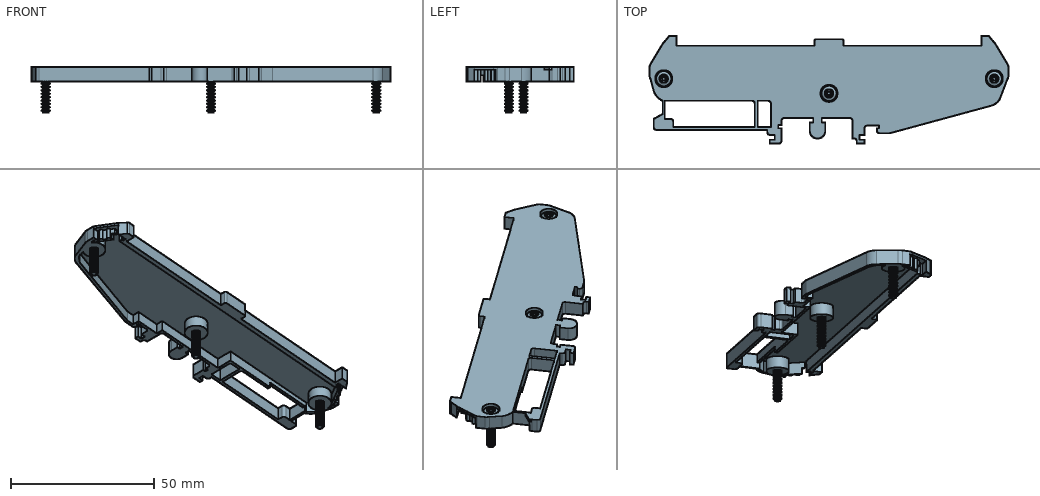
import cadquery as cq
HOUSING_HEIGHT = 5.1
COVER = 1.0
WALL = 1.0
CORNER_ROUND = 1.0
INNER_ROUND = 0.9
NOTCH_HEIGHT = 2.1
RIB_TOP = HOUSING_HEIGHT - COVER

HALF_LENGTH = 62.7
HORN_X = 53.2
HORN_TIP_X = 55.5
HORN_TOP = 3.4
HORN_ARC_MID = (55.9, 3.3)
HORN_ARC_END = (56.2, 2.9)
SLANT_TOP = (58.2, 0.5)
SLANT_FOOT = (62.1, -6.0)
END_ARC_MID = (62.5, -6.6)
END_BACK = -7.4
END_FRONT = -10.2
FLANK_ARC_MID = (62.6, -11.0)
FLANK_TOP = (62.3, -11.7)
LEFT_FLANK_FOOT = (-61.2, -15.9)
LEFT_ARC_MID = (-60.1, -17.8)
RIGHT_FLANK_FOOT = (59.7, -18.5)
RIGHT_ARC_MID = (58.4, -20.1)
SLOPE_END = (56.4, -21.1)
TAB_HALF_WIDTH = 5.1
TAB_TOP = 2.3
TAB_ROUND = 0.6
RAIL_Y = -25.3
FRONT_Y = -34.2

FRAME_BACK = -19.3
FRAME_FRONT = -29.5
FRAME_RIGHT = -20.3
LEG_X = -58.0
LEG_WIDTH = 0.8
FOOT_X = -61.2
FOOT_BACK = -25.6
FOOT_RIGHT = -54.3
BAR = 1.1
PARTITION_LEFT = -26.0
GUSSET_BACK = -23.8
GUSSET_FRONT = -26.5
BACK_NOTCH_RIGHT = -39.5

LEFT_FOOT_X = -16.5
LATCH_X = -21.6
RIGHT_FOOT_X = 8.2
RIGHT_FOOT_STEP = (9.7, -32.5)
RIGHT_FOOT_OUTER = 12.4
RELIEF_BACK = -28.0
RELIEF_RIGHT = 17.4
LIP_X = 16.7
LIP_BACK = -28.8
LIP_FRONT = -30.6
SLOPE_START_X = 21.3
HOOK_BACK = -31.2
HOOK_FRONT = -32.9
HOOK_SLOT_LEFT = -18.9
HOOK_SLOT_RIGHT = 10.7
TOE_LEFT = -20.7
NICK_X = -17.7
NICK_BACK = -27.7
NICK_FRONT = -28.8
TONGUE_X = -4.0
TONGUE_WIDTH = 5.5
TONGUE_NECK = 3.0
TONGUE_BACK = -26.8
TONGUE_FRONT = -32.5

REAR_WALL = 1.8
CAVITY_RIGHT_END = [(61.5, -8.2), (58.4, -18.2), (55.9, -20.0)]
CAVITY_LEFT_END = [(-60.2, -15.7), (-61.7, -11.3), (-61.7, -8.2)]
VENT_BOTTOM_Y = -7.0
VENT_X = 55.2
VENT_STEP_X = 54.4
VENT_STEP_Y = -0.6
BAFFLE_SETBACK = 2.0
BAFFLE_SLOT = 0.9
BAFFLE_FRONT = -8.8
BAFFLE_RIB_RADIUS = 0.6
BAFFLE_RIB_YS = (-3.6, -5.9)

ROUNDED_CORNERS = [
    (PARTITION_LEFT, FRAME_BACK),
    (FRAME_RIGHT, FRAME_BACK),
    (LEFT_FOOT_X, RAIL_Y),
    (RIGHT_FOOT_X, RAIL_Y),
    (RIGHT_FOOT_OUTER, RELIEF_BACK),
    RIGHT_FOOT_STEP,
    (LIP_X, LIP_FRONT),
]

SCREW_PLACES = [(-57.7, -11.5), (0.0, -16.7), (57.7, -11.5)]
SEAT_RADIUS = 3.0
HEAD_RADIUS = 2.6
HEAD_RIM_Z = 4.1
HEAD_TOP_Z = 4.8
HEAD_TOP_RADIUS = 1.5
SOCKET_RADIUS = 1.3
SOCKET_DEPTH = 0.3
PIT_RADIUS = 0.6
PIT_DEPTH = 0.6
HEAD_BOTTOM = 1.9
SHANK_RADIUS = 1.0
THREAD_RADIUS = 1.5
THREAD_PITCH = 1.18
THREAD_COUNT = 9
THREAD_HALF_BASE = 0.31
SCREW_TIP = -10.9
TIP_LENGTH = 0.8
LAST_THREAD = SCREW_TIP + TIP_LENGTH
BOSS_RADIUS = 4.0


def mirrored(point):
    return (-point[0], point[1])


def prism(points, height=HOUSING_HEIGHT):
    return cq.Workplane("XY").polyline(points).close().extrude(height)


def round_corner(body, x, y, radius=CORNER_ROUND):
    corner = cq.selectors.NearestToPointSelector((x, y, HOUSING_HEIGHT / 2))
    return body.edges("|Z").edges(corner).fillet(radius)


def block(x_range, y_range, z_range):
    size = [high - low for low, high in (x_range, y_range, z_range)]
    return cq.Workplane("XY").box(*size, centered=False).translate((x_range[0], y_range[0], z_range[0]))


def main_body():
    return (
        cq.Workplane("XY")
        .moveTo(-HORN_X, 0)
        .lineTo(-HORN_X, HORN_TOP)
        .lineTo(-HORN_TIP_X, HORN_TOP)
        .threePointArc(mirrored(HORN_ARC_MID), mirrored(HORN_ARC_END))
        .lineTo(*mirrored(SLANT_TOP))
        .lineTo(*mirrored(SLANT_FOOT))
        .threePointArc(mirrored(END_ARC_MID), (-HALF_LENGTH, END_BACK))
        .lineTo(-HALF_LENGTH, END_FRONT)
        .threePointArc(mirrored(FLANK_ARC_MID), mirrored(FLANK_TOP))
        .lineTo(*LEFT_FLANK_FOOT)
        .threePointArc(LEFT_ARC_MID, (LEG_X, FRAME_BACK))
        .lineTo(FRAME_RIGHT, FRAME_BACK)
        .lineTo(FRAME_RIGHT, RAIL_Y)
        .lineTo(RIGHT_FOOT_X, RAIL_Y)
        .lineTo(RIGHT_FOOT_X, RELIEF_BACK)
        .lineTo(RELIEF_RIGHT, RELIEF_BACK)
        .lineTo(RELIEF_RIGHT, LIP_BACK)
        .lineTo(LIP_X, LIP_BACK)
        .lineTo(LIP_X, LIP_FRONT)
        .lineTo(SLOPE_START_X, LIP_FRONT)
        .lineTo(*SLOPE_END)
        .threePointArc(RIGHT_ARC_MID, RIGHT_FLANK_FOOT)
        .lineTo(*FLANK_TOP)
        .threePointArc(FLANK_ARC_MID, (HALF_LENGTH, END_FRONT))
        .lineTo(HALF_LENGTH, END_BACK)
        .threePointArc(END_ARC_MID, SLANT_FOOT)
        .lineTo(*SLANT_TOP)
        .lineTo(*HORN_ARC_END)
        .threePointArc(HORN_ARC_MID, (HORN_TIP_X, HORN_TOP))
        .lineTo(HORN_X, HORN_TOP)
        .lineTo(HORN_X, 0)
        .close()
        .extrude(HOUSING_HEIGHT)
    )


def rear_tab():
    tab = block((-TAB_HALF_WIDTH, TAB_HALF_WIDTH), (-REAR_WALL, TAB_TOP), (0, HOUSING_HEIGHT))
    return tab.edges("|Z and >Y").fillet(TAB_ROUND)


def label_frame():
    leg_inner = LEG_X + LEG_WIDTH
    bar_back = FRAME_FRONT + BAR
    leg = block((LEG_X, leg_inner), (FOOT_BACK, FRAME_BACK), (0, HOUSING_HEIGHT))
    foot = block((FOOT_X, FOOT_RIGHT), (FRAME_FRONT, FOOT_BACK), (0, HOUSING_HEIGHT))
    foot = round_corner(foot, FOOT_X, FRAME_FRONT)
    foot = round_corner(foot, FOOT_X, FOOT_BACK)
    foot = round_corner(foot, FOOT_RIGHT, FOOT_BACK)
    bar = block((FOOT_RIGHT, FRAME_RIGHT), (FRAME_FRONT, bar_back), (0, HOUSING_HEIGHT))
    partition = block((PARTITION_LEFT, PARTITION_LEFT + BAR), (bar_back, FRAME_BACK), (0, HOUSING_HEIGHT))
    gusset = prism([
        (LEG_X, GUSSET_BACK),
        (leg_inner, GUSSET_BACK),
        (leg_inner, GUSSET_FRONT),
        (FOOT_X, GUSSET_FRONT),
        (FOOT_X, FOOT_BACK),
    ], COVER).translate((0, 0, RIB_TOP))
    return leg.union(foot).union(bar).union(partition).union(gusset)


def frame_notch():
    x_range = (LEG_X + LEG_WIDTH, BACK_NOTCH_RIGHT)
    return block(x_range, (FRAME_BACK, FRAME_BACK + WALL), (0, NOTCH_HEIGHT))


def left_rail_foot():
    foot = prism([
        (LEFT_FOOT_X, RAIL_Y),
        (LEFT_FOOT_X, NICK_BACK),
        (NICK_X, NICK_BACK),
        (NICK_X, NICK_FRONT),
        (LEFT_FOOT_X, NICK_FRONT),
        (LEFT_FOOT_X, FRONT_Y),
        (TOE_LEFT, FRONT_Y),
        (TOE_LEFT, HOOK_FRONT),
        (HOOK_SLOT_LEFT, HOOK_FRONT),
        (HOOK_SLOT_LEFT, HOOK_BACK),
        (LATCH_X, HOOK_BACK),
        (LATCH_X, FRAME_FRONT),
        (FRAME_RIGHT, FRAME_FRONT),
        (FRAME_RIGHT, RAIL_Y),
    ])
    foot = round_corner(foot, LATCH_X, HOOK_BACK)
    return round_corner(foot, LEFT_FOOT_X, FRONT_Y)


def right_rail_foot():
    step_x, step_y = RIGHT_FOOT_STEP
    return prism([
        (RIGHT_FOOT_X, RELIEF_BACK),
        (RIGHT_FOOT_X, step_y),
        (step_x, step_y),
        (step_x, FRONT_Y),
        (RIGHT_FOOT_OUTER, FRONT_Y),
        (RIGHT_FOOT_OUTER, HOOK_FRONT),
        (HOOK_SLOT_RIGHT, HOOK_FRONT),
        (HOOK_SLOT_RIGHT, HOOK_BACK),
        (RIGHT_FOOT_OUTER, HOOK_BACK),
        (RIGHT_FOOT_OUTER, RELIEF_BACK),
    ])


def spring_tongue():
    neck = block(
        (TONGUE_X - TONGUE_NECK / 2, TONGUE_X + TONGUE_NECK / 2), (TONGUE_BACK, RAIL_Y), (0, HOUSING_HEIGHT)
    )
    half = TONGUE_WIDTH / 2
    pad = (
        cq.Workplane("XY")
        .moveTo(TONGUE_X - half, TONGUE_BACK)
        .lineTo(TONGUE_X - half, TONGUE_FRONT + half)
        .threePointArc((TONGUE_X, TONGUE_FRONT), (TONGUE_X + half, TONGUE_FRONT + half))
        .lineTo(TONGUE_X + half, TONGUE_BACK)
        .close()
        .extrude(HOUSING_HEIGHT)
    )
    return neck.union(pad)


def cavity():
    return prism([
        (-VENT_X, -REAR_WALL),
        (VENT_X, -REAR_WALL),
        *CAVITY_RIGHT_END,
        (SLOPE_START_X, LIP_FRONT + WALL),
        (RELIEF_RIGHT + WALL, LIP_FRONT + WALL),
        (RELIEF_RIGHT + WALL, RELIEF_BACK + WALL),
        (RIGHT_FOOT_X + WALL, RELIEF_BACK + WALL),
        (RIGHT_FOOT_X + WALL, RAIL_Y + WALL),
        (FRAME_RIGHT + WALL, RAIL_Y + WALL),
        (FRAME_RIGHT + WALL, FRAME_BACK + WALL),
        (LEG_X, FRAME_BACK + WALL),
        *CAVITY_LEFT_END,
    ], RIB_TOP)


def end_vent(side):
    outside = HALF_LENGTH + 1.3
    opening = block(sorted((side * VENT_X, side * outside)), (VENT_BOTTOM_Y, SLANT_TOP[1]), (0, RIB_TOP))
    step = block(sorted((side * VENT_STEP_X, side * outside)), (VENT_STEP_Y, SLANT_TOP[1]), (0, RIB_TOP))
    return opening.union(step)


def baffle_x(y):
    slope = (SLANT_FOOT[0] - SLANT_TOP[0]) / (SLANT_TOP[1] - SLANT_FOOT[1])
    return SLANT_TOP[0] + slope * (SLANT_TOP[1] - y) - BAFFLE_SETBACK


def end_baffle(side):
    back = -REAR_WALL
    front = BAFFLE_FRONT
    baffle = prism([
        (side * baffle_x(back), back),
        (side * (baffle_x(back) - WALL), back),
        (side * (baffle_x(front) - WALL), front),
        (side * baffle_x(front), front),
    ], RIB_TOP)
    x_range = sorted((side * HORN_X, side * HALF_LENGTH))
    slot = block(x_range, (back - BAFFLE_SLOT, back), (0, NOTCH_HEIGHT))
    for y in BAFFLE_RIB_YS:
        rib = cq.Workplane("XY").center(side * baffle_x(y), y).circle(BAFFLE_RIB_RADIUS).extrude(RIB_TOP)
        baffle = baffle.union(rib)
    return baffle.cut(slot)


def screw_profile():
    socket_floor = HEAD_TOP_Z - SOCKET_DEPTH
    points = [
        (0, socket_floor - PIT_DEPTH),
        (PIT_RADIUS, socket_floor),
        (SOCKET_RADIUS, socket_floor),
        (SOCKET_RADIUS, HEAD_TOP_Z),
        (HEAD_TOP_RADIUS, HEAD_TOP_Z),
        (HEAD_RADIUS, HEAD_RIM_Z),
        (HEAD_RADIUS, HEAD_BOTTOM),
        (SHANK_RADIUS, HEAD_BOTTOM),
    ]
    for ring in reversed(range(THREAD_COUNT)):
        z = LAST_THREAD + ring * THREAD_PITCH
        points += [
            (SHANK_RADIUS, z + THREAD_HALF_BASE),
            (THREAD_RADIUS, z),
            (SHANK_RADIUS, z - THREAD_HALF_BASE),
        ]
    return points + [(SHANK_RADIUS, SCREW_TIP), (0, SCREW_TIP)]


def screw(place):
    half_section = cq.Workplane("XZ").polyline(screw_profile()).close()
    return half_section.revolve(360, (0, 0), (0, 1)).translate((*place, 0))


def housing_body():
    body = main_body().cut(cavity())
    for side in (-1, 1):
        body = body.cut(end_vent(side))
        body = body.union(end_baffle(side))
    for feature in (rear_tab(), label_frame(), left_rail_foot(), right_rail_foot(), spring_tongue()):
        body = body.union(feature)
    body = body.cut(frame_notch())
    for x, y in ROUNDED_CORNERS:
        body = round_corner(body, x, y, INNER_ROUND)
    plan = main_body()
    for x, y in SCREW_PLACES:
        boss = cq.Workplane("XY").center(x, y).circle(BOSS_RADIUS).extrude(HOUSING_HEIGHT).intersect(plan)
        seat = cq.Workplane("XY", origin=(x, y, HEAD_BOTTOM)).circle(SEAT_RADIUS).extrude(HOUSING_HEIGHT)
        bore = cq.Workplane("XY").center(x, y).circle(THREAD_RADIUS).extrude(HOUSING_HEIGHT)
        body = body.union(boss).cut(seat).cut(bore)
    return body


housing = housing_body()
screws = [screw(place) for place in SCREW_PLACES]
result = cq.Compound.makeCompound([*housing.solids().vals(), *[part.val() for part in screws]])